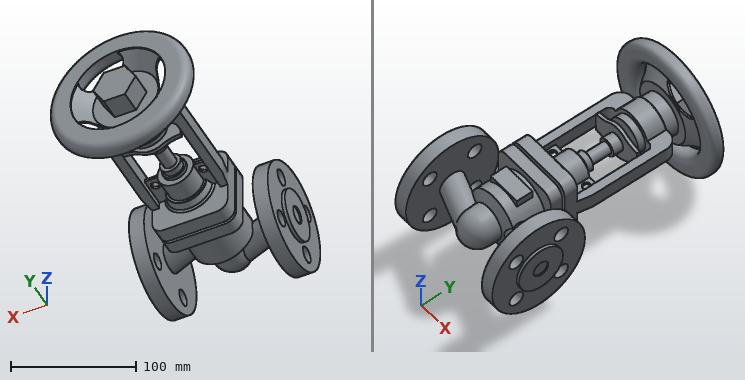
import cadquery as cq
import math

overall_length = 246.5
face_to_face = 130.0

flange_diameter = 95.1
flange_thickness = 13.5
raised_face_diameter = 45.0
raised_face_height = 3.0
bore_diameter = 15.0
bore_depth = 1.2
bolt_circle_diameter = 65.0
bolt_hole_diameter = 14.0
bolt_count = 4
first_bolt_angle = 45.0

pipe_diameter = 24.2
inlet_angle = 20.2
outlet_angle = 22.2
bowl_radius = 17.3
bowl_centre_y = -13.3
bowl_top_y = -2.0
body_radius = 27.4
body_bottom_y = 3.0
nameplate_width = 33.5
nameplate_height = 16.3
nameplate_bottom_y = 13.8
nameplate_face_z = 28.8

square_width = 67.0
square_corner_radius = 10.0
body_square_bottom_y = 35.0
body_square_top_y = 46.8
bonnet_square_bottom_y = 49.3
bonnet_square_top_y = 62.4
gasket_radius = 25.0

bonnet_foot_radius = 22.5
bonnet_foot_height = 1.2
bonnet_flare_radius = 20.5
bonnet_collar_radius = 18.2
bonnet_collar_bottom_y = 69.3
bonnet_collar_top_y = 70.0
bonnet_radius = 16.0
bonnet_top_y = 89.0
gland_base_radius = 10.5
gland_base_top_y = 92.0
gland_bottom_radius = 8.6
gland_top_radius = 9.4
gland_top_y = 98.4

yoke_thickness = 14.8
yoke_half_width = 36.0
yoke_window_half_width = 27.4
yoke_outer_radius = 12.3
yoke_window_radius = 5.0
yoke_top_y = 164.5
yoke_window_top_y = 145.0
yoke_taper_top_y = 76.7
web_thickness = 2.5
web_hole_offset = 21.5
web_hole_y = 81.3
web_hole_diameter = 7.5
yoke_boss_radius = 21.5
yoke_sleeve_radius = 17.5
yoke_sleeve_bottom_y = 137.8

stem_radius = 6.0
stem_collar_radius = 8.6
stem_collar_bottom_y = 119.5
indicator_bottom_y = 129.5
indicator_top_y = 132.9
indicator_half_width = 26.1
indicator_hub_radius = 17.5
indicator_end_half_height = 9.9

wheel_diameter = 125.0
wheel_radius = wheel_diameter / 2
rim_width = 20.2
rim_bottom_y = 177.5
rim_top_y = 192.8
rim_outer_bottom_radius = 5.2
rim_inner_bottom_radius = 8.0
rim_outer_top_radius = 7.0
hub_neck_radius = 20.2
hub_radius = 29.0
hub_bottom_y = 176.7
disc_rise = 13.3
disc_thickness = 2.0
disc_overlap = 0.7
opening_count = 3
first_opening_angle = 60.0
opening_end_distance = 38.0
opening_end_radius = 5.2
opening_half_span = 24.5
nut_half_width = 19.0
nut_half_height = 16.0
nut_top_y = overall_length - flange_diameter / 2


def turned(points):
    """Solid of revolution about the Y axis from a closed (radius, y) outline."""
    return cq.Workplane("XY").polyline(points).close().revolve(360, (0, 0, 0), (0, 1, 0))


def cylinder(radius, bottom_y, top_y):
    return turned([(0, bottom_y), (radius, bottom_y), (radius, top_y), (0, top_y)])


def plane_at(y):
    """Workplane at height y with local x = X, local y = -Z and its normal along +Y."""
    return cq.Workplane(cq.Plane((0, y, 0), xDir=(1, 0, 0), normal=(0, 1, 0)))


def end_flange(side):
    """Pipe flange on the -X (side = -1) or +X (side = 1) end, built inwards from its outer face."""
    face = cq.Plane((side * face_to_face / 2, 0, 0), xDir=(0, 1, 0), normal=(-side, 0, 0))
    raised_face = cq.Workplane(face).circle(raised_face_diameter / 2).extrude(raised_face_height)
    disc = (
        cq.Workplane(face)
        .workplane(offset=raised_face_height)
        .circle(flange_diameter / 2)
        .extrude(flange_thickness)
    )
    bolt_holes = (
        cq.Workplane(face)
        .polarArray(bolt_circle_diameter / 2, first_bolt_angle, 360, bolt_count)
        .circle(bolt_hole_diameter / 2)
        .extrude(raised_face_height + flange_thickness)
    )
    bore = cq.Workplane(face).circle(bore_diameter / 2).extrude(bore_depth)
    return raised_face.union(disc).cut(bolt_holes).cut(bore)


def pipe(side, angle):
    """Sloping pipe from an end flange to the valve axis; the inlet dips and the outlet rises."""
    reach = face_to_face / 2 - raised_face_height - flange_thickness / 2
    slope = math.radians(angle)
    start = cq.Plane(
        (side * reach, -side * flange_thickness / 2 * math.tan(slope), 0),
        xDir=(0, 0, 1),
        normal=(-side * math.cos(slope), side * math.sin(slope), 0),
    )
    return cq.Workplane(start).circle(pipe_diameter / 2).extrude(reach / math.cos(slope))


def body():
    bowl = cq.Workplane("XY").sphere(bowl_radius).translate((0, bowl_centre_y, 0))
    shell = turned([
        (0, bowl_centre_y),
        (bowl_radius, bowl_centre_y),
        (bowl_radius, bowl_top_y),
        (body_radius, body_bottom_y),
        (body_radius, body_square_bottom_y),
        (0, body_square_bottom_y),
    ])
    nameplate = (
        cq.Workplane("XY")
        .center(0, nameplate_bottom_y + nameplate_height / 2)
        .rect(nameplate_width, nameplate_height)
        .extrude(nameplate_face_z)
    )
    return bowl.union(shell).union(nameplate)


def square_flange(bottom_y, top_y):
    return (
        plane_at(bottom_y)
        .rect(square_width, square_width)
        .extrude(top_y - bottom_y)
        .edges("|Y")
        .fillet(square_corner_radius)
    )


def bonnet():
    return turned([
        (0, bonnet_square_top_y),
        (bonnet_foot_radius, bonnet_square_top_y),
        (bonnet_flare_radius, bonnet_square_top_y + bonnet_foot_height),
        (bonnet_collar_radius, bonnet_collar_bottom_y),
        (bonnet_collar_radius, bonnet_collar_top_y),
        (bonnet_radius, bonnet_collar_top_y),
        (bonnet_radius, bonnet_top_y),
        (gland_base_radius, bonnet_top_y),
        (gland_base_radius, gland_base_top_y),
        (gland_bottom_radius, gland_base_top_y),
        (gland_top_radius, gland_top_y),
        (0, gland_top_y),
    ])


def yoke():
    foot_half_width = square_width / 2
    frame = (
        cq.Workplane("XY")
        .polyline([
            (-foot_half_width, bonnet_square_top_y),
            (-yoke_half_width, yoke_taper_top_y),
            (-yoke_half_width, yoke_top_y),
            (yoke_half_width, yoke_top_y),
            (yoke_half_width, yoke_taper_top_y),
            (foot_half_width, bonnet_square_top_y),
        ])
        .close()
        .extrude(yoke_thickness / 2, both=True)
        .edges("|Z and >Y")
        .fillet(yoke_outer_radius)
    )
    window_height = yoke_window_top_y - bonnet_square_top_y
    window = (
        cq.Workplane("XY")
        .center(0, bonnet_square_top_y + window_height / 2)
        .rect(2 * yoke_window_half_width, window_height)
        .extrude(yoke_thickness / 2, both=True)
        .edges("|Z and >Y")
        .fillet(yoke_window_radius)
    )
    web_height = bonnet_top_y - bonnet_square_top_y
    web = (
        cq.Workplane("XY")
        .center(0, bonnet_square_top_y + web_height / 2)
        .rect(2 * yoke_window_half_width, web_height)
        .extrude(web_thickness / 2, both=True)
    )
    web_holes = (
        cq.Workplane("XY")
        .pushPoints([(-web_hole_offset, web_hole_y), (web_hole_offset, web_hole_y)])
        .circle(web_hole_diameter / 2)
        .extrude(web_thickness / 2, both=True)
    )
    boss = cylinder(yoke_boss_radius, yoke_window_top_y, yoke_top_y)
    sleeve = cylinder(yoke_sleeve_radius, yoke_sleeve_bottom_y, yoke_window_top_y)
    return frame.cut(window).union(web.cut(web_holes)).union(boss).union(sleeve)


def travel_indicator():
    """Plate with a round hub that sweeps out to its flat ends through tangent concave arcs."""
    sweep_radius = (
        indicator_half_width**2 + indicator_end_half_height**2 - indicator_hub_radius**2
    ) / (2 * (indicator_hub_radius - indicator_end_half_height))
    sweep_centre_z = indicator_end_half_height + sweep_radius
    hub_share = indicator_hub_radius / (indicator_hub_radius + sweep_radius)
    thickness = indicator_top_y - indicator_bottom_y
    base = plane_at(indicator_bottom_y)
    block_height = 2 * sweep_centre_z * hub_share
    plate = base.rect(2 * indicator_half_width, block_height).extrude(thickness)
    for x in (-indicator_half_width, indicator_half_width):
        for z in (-sweep_centre_z, sweep_centre_z):
            sweep = plane_at(indicator_bottom_y).center(x, z).circle(sweep_radius)
            plate = plate.cut(sweep.extrude(thickness))
    return plate.union(cylinder(indicator_hub_radius, indicator_bottom_y, indicator_top_y))


def stem():
    rod = cylinder(stem_radius, gland_top_y, yoke_sleeve_bottom_y)
    collar = cylinder(stem_collar_radius, stem_collar_bottom_y, indicator_bottom_y)
    return rod.union(collar)


def rim():
    inner_radius = wheel_radius - rim_width
    ring = cylinder(wheel_radius, rim_bottom_y, rim_top_y).cut(
        cylinder(inner_radius, rim_bottom_y, rim_top_y)
    )
    inner_edge = cq.selectors.RadiusNthSelector(0)
    outer_edge = cq.selectors.RadiusNthSelector(-1)
    ring = ring.faces(">Y").edges(outer_edge).fillet(rim_outer_top_radius)
    ring = ring.faces("<Y").edges(outer_edge).fillet(rim_outer_bottom_radius)
    return ring.faces("<Y").edges(inner_edge).fillet(rim_inner_bottom_radius)


def wheel_opening():
    """One opening between two spokes, centred on +X: straight inside, curved outside, round ends."""
    half_span = math.radians(opening_half_span)
    end_x = opening_end_distance * math.cos(half_span)
    end_z = opening_end_distance * math.sin(half_span)
    inner_x = end_x - opening_end_radius
    outer_radius = opening_end_distance + opening_end_radius
    outer_x = outer_radius * math.cos(half_span)
    outer_z = outer_radius * math.sin(half_span)
    tip_angle = (math.pi + half_span) / 2
    tip_x = end_x + opening_end_radius * math.cos(tip_angle)
    tip_z = end_z + opening_end_radius * math.sin(tip_angle)
    return (
        plane_at(hub_bottom_y)
        .moveTo(inner_x, -end_z)
        .lineTo(inner_x, end_z)
        .threePointArc((tip_x, tip_z), (outer_x, outer_z))
        .threePointArc((outer_radius, 0), (outer_x, -outer_z))
        .threePointArc((tip_x, -tip_z), (inner_x, -end_z))
        .close()
        .extrude(rim_top_y - hub_bottom_y)
    )


def handwheel():
    disc_outer_radius = wheel_radius - rim_width + disc_overlap
    disc_edge_y = hub_bottom_y + disc_rise
    disc = turned([
        (0, hub_bottom_y),
        (hub_radius, hub_bottom_y),
        (disc_outer_radius, disc_edge_y),
        (disc_outer_radius, disc_edge_y + disc_thickness),
        (hub_radius, hub_bottom_y + disc_thickness),
        (0, hub_bottom_y + disc_thickness),
    ])
    opening = wheel_opening()
    for index in range(opening_count):
        angle = first_opening_angle + index * 360 / opening_count
        disc = disc.cut(opening.rotate((0, 0, 0), (0, 1, 0), -angle))
    neck = cylinder(hub_neck_radius, yoke_top_y, hub_bottom_y)
    nut = (
        plane_at(hub_bottom_y)
        .polyline([
            (nut_half_width, 0),
            (nut_half_width / 2, nut_half_height),
            (-nut_half_width / 2, nut_half_height),
            (-nut_half_width, 0),
            (-nut_half_width / 2, -nut_half_height),
            (nut_half_width / 2, -nut_half_height),
        ])
        .close()
        .extrude(nut_top_y - hub_bottom_y)
    )
    return rim().union(disc).union(neck).union(nut)


parts = [
    end_flange(-1),
    end_flange(1),
    pipe(-1, inlet_angle),
    pipe(1, outlet_angle),
    square_flange(body_square_bottom_y, body_square_top_y),
    cylinder(gasket_radius, body_square_top_y, bonnet_square_bottom_y),
    square_flange(bonnet_square_bottom_y, bonnet_square_top_y),
    bonnet(),
    yoke(),
    stem(),
    travel_indicator(),
    handwheel(),
]
result = body()
for part in parts:
    result = result.union(part)